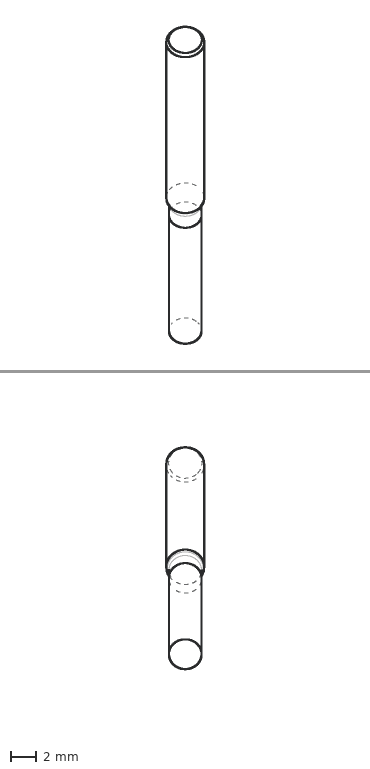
import cadquery as cq
import math

total_length = 38.0
shank_radius = 3.0 / 2
cutter_radius = 2.6 / 2

cutter_top = 15.5
neck_top = 17.0
fillet_top = 17.45
shank_bottom = 17.67

top_chamfer_height = 0.3
top_chamfer_width = 0.2
fillet_top_radius = 1.4
point_angle = 130.0
point_height = cutter_radius / math.tan(math.radians(point_angle / 2))


def revolve(outline):
    """Turn a closed half outline, drawn as (radius, height), about the Z axis."""
    return outline.close().revolve(360, (0, 0, 0), (0, 1, 0))


def make_shank():
    """Chamfered shank whose lower end blends through a concave fillet into a short neck."""
    outline = (
        cq.Workplane("XZ")
        .moveTo(0, cutter_top)
        .lineTo(cutter_radius, cutter_top)
        .lineTo(cutter_radius, neck_top)
        .tangentArcPoint((fillet_top_radius, fillet_top), relative=False)
        .lineTo(shank_radius, shank_bottom)
        .lineTo(shank_radius, total_length - top_chamfer_height)
        .lineTo(shank_radius - top_chamfer_width, total_length)
        .lineTo(0, total_length)
    )
    return revolve(outline)


def make_cutter():
    """Cylindrical cutting end with a conical point."""
    outline = (
        cq.Workplane("XZ")
        .lineTo(cutter_radius, point_height)
        .lineTo(cutter_radius, cutter_top)
        .lineTo(0, cutter_top)
    )
    return revolve(outline)


shank = make_shank()
cutter = make_cutter()

result = cq.Compound.makeCompound([shank.val(), cutter.val()])